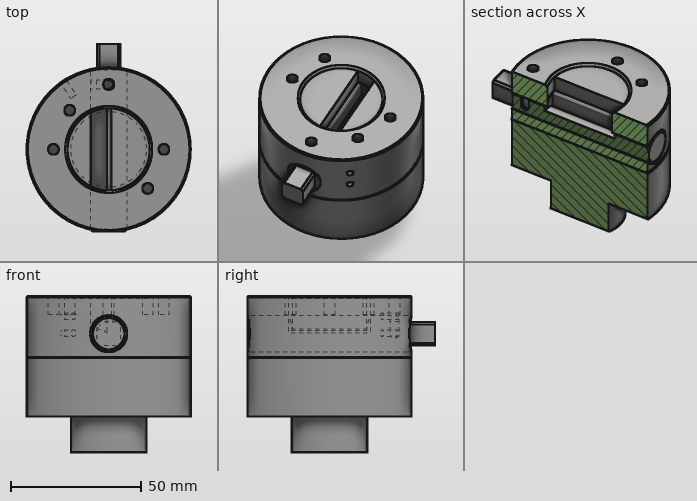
import cadquery as cq
import math

BODY_DIA = 63.0
BODY_RADIUS = BODY_DIA / 2
TOTAL_HEIGHT = 60.0
TOTAL_LENGTH = 72.0
OVERCUT = 0.7

UPPER_HEIGHT = 23.8
RIM_CHAMFER = 0.5
RECESS_DIA = 31.5
RECESS_DEPTH = 0.9
SLOT_LEFT = -6.9
SLOT_RIGHT = 1.0

MOUNT_HOLE_DIA = 4.1
MOUNT_HOLE_DEPTH = 7.2
MOUNT_HOLE_RADIUS = 21.2
MOUNT_HOLE_ANGLES = (0, 135, 180, 315)
STOP_HOLE_DIA = 4.2
STOP_Y = 24.9
SIDE_HOLE_DIA = 2.5
SIDE_HOLE_DEPTH = 7.2
SIDE_HOLE_ANGLE = 123.7
SIDE_HOLE_LEVELS = (-7.8, -14.25)

LOWER_HEIGHT = 22.5
SPIGOT_DIA = 29.0

SHAFT_Z = -14.5
BORE_DIA = 14.05
SHAFT_DIA = 14.0
SHAFT_RADIUS = SHAFT_DIA / 2
SHAFT_FRONT = -BODY_RADIUS
SHAFT_SHOULDER = 30.5
SHAFT_CHAMFER = 0.9
SQUARE_SIDE = 9.0
SQUARE_CHAMFER = 0.9
SQUARE_END = SHAFT_FRONT + TOTAL_LENGTH

GROOVE_DIA = 9.5
GROOVE_WIDTH = 3.45
GROOVE_SWEEP = 90

NOSE_RADIUS = 1.15
NOSE_X = 0.6
FLANK_RADIUS = 6.0
FLANK_X = -4.5
FLANK_TOP = 1.7


def cylinder_y(diameter, y_start, y_end):
    """Cylinder around the shaft axis."""
    plane = cq.Workplane("XZ", origin=(0, y_start, SHAFT_Z))
    return plane.circle(diameter / 2).extrude(y_start - y_end)


def cut_recess_and_slot(body):
    recess_radius = RECESS_DIA / 2
    seat = cq.Solid.makeCone(
        recess_radius,
        recess_radius + RECESS_DEPTH,
        RECESS_DEPTH,
        cq.Vector(0, 0, -RECESS_DEPTH),
    )
    left_end = math.sqrt(recess_radius**2 - SLOT_LEFT**2)
    right_end = math.sqrt(recess_radius**2 - SLOT_RIGHT**2)
    middle_x = (SLOT_LEFT + SLOT_RIGHT) / 2
    middle_end = math.sqrt(recess_radius**2 - middle_x**2)
    slot = (
        cq.Workplane("XY", origin=(0, 0, SHAFT_Z))
        .moveTo(SLOT_LEFT, -left_end)
        .threePointArc((middle_x, -middle_end), (SLOT_RIGHT, -right_end))
        .lineTo(SLOT_RIGHT, right_end)
        .threePointArc((middle_x, middle_end), (SLOT_LEFT, left_end))
        .close()
        .extrude(-RECESS_DEPTH - SHAFT_Z)
    )
    return body.cut(slot).cut(cq.Workplane(seat))


def cut_top_holes(body):
    for angle in MOUNT_HOLE_ANGLES:
        x = MOUNT_HOLE_RADIUS * math.cos(math.radians(angle))
        y = MOUNT_HOLE_RADIUS * math.sin(math.radians(angle))
        hole = cq.Workplane("XY").center(x, y).circle(MOUNT_HOLE_DIA / 2).extrude(-MOUNT_HOLE_DEPTH)
        body = body.cut(hole)
    stop_hole = cq.Workplane("XY").center(0, STOP_Y).circle(STOP_HOLE_DIA / 2).extrude(SHAFT_Z)
    return body.cut(stop_hole)


def cut_side_holes(body):
    """Radial blind holes, one above the other."""
    outward = cq.Vector(
        math.cos(math.radians(SIDE_HOLE_ANGLE)),
        math.sin(math.radians(SIDE_HOLE_ANGLE)),
        0,
    )
    for level in SIDE_HOLE_LEVELS:
        start = outward * (BODY_RADIUS - SIDE_HOLE_DEPTH) + cq.Vector(0, 0, level)
        hole = cq.Solid.makeCylinder(SIDE_HOLE_DIA / 2, SIDE_HOLE_DEPTH + OVERCUT, start, outward)
        body = body.cut(cq.Workplane(hole))
    return body


def make_upper_housing():
    body = (
        cq.Workplane("XY", origin=(0, 0, -UPPER_HEIGHT))
        .circle(BODY_RADIUS)
        .extrude(UPPER_HEIGHT)
        .faces("<Z or >Z").chamfer(RIM_CHAMFER)
    )
    body = body.cut(cylinder_y(BORE_DIA, -BODY_RADIUS - OVERCUT, BODY_RADIUS + OVERCUT))
    body = cut_recess_and_slot(body)
    body = cut_top_holes(body)
    return cut_side_holes(body)


def make_lower_housing():
    spigot_length = TOTAL_HEIGHT - UPPER_HEIGHT - LOWER_HEIGHT
    return (
        cq.Workplane("XY", origin=(0, 0, -UPPER_HEIGHT))
        .circle(BODY_RADIUS)
        .extrude(-LOWER_HEIGHT)
        .faces("<Z").workplane()
        .circle(SPIGOT_DIA / 2)
        .extrude(spigot_length)
    )


def cut_stop_groove(shaft):
    """Part-turn groove from the top of the shaft to its -X side, with round ends."""
    groove_radius = GROOVE_DIA / 2
    outer_radius = SHAFT_RADIUS + OVERCUT
    depth = outer_radius - groove_radius
    middle_radius = (groove_radius + outer_radius) / 2
    swept = (
        cq.Workplane("YZ", origin=(0, STOP_Y, SHAFT_Z))
        .center(0, middle_radius)
        .rect(GROOVE_WIDTH, depth)
        .revolve(GROOVE_SWEEP, (0, -middle_radius, 0), (-1, -middle_radius, 0))
    )
    shaft = shaft.cut(swept)
    for direction in (cq.Vector(0, 0, 1), cq.Vector(-1, 0, 0)):
        start = cq.Vector(0, STOP_Y, SHAFT_Z) + direction * groove_radius
        end = cq.Solid.makeCylinder(GROOVE_WIDTH / 2, depth, start, direction)
        shaft = shaft.cut(cq.Workplane(end))
    return shaft


def cut_cam_relief(shaft):
    """Clear the upper left of the shaft, leaving a nose tangent to its outer surface."""
    nose_distance = SHAFT_RADIUS - NOSE_RADIUS
    nose_z = math.sqrt(nose_distance**2 - NOSE_X**2)
    tip = (NOSE_X * SHAFT_RADIUS / nose_distance, nose_z * SHAFT_RADIUS / nose_distance)
    nose_left = NOSE_X - NOSE_RADIUS
    nose_middle = (NOSE_X - NOSE_RADIUS / math.sqrt(2), nose_z + NOSE_RADIUS / math.sqrt(2))

    def flank_z(x):
        return FLANK_TOP - FLANK_RADIUS + math.sqrt(FLANK_RADIUS**2 - (x - FLANK_X) ** 2)

    outer = SHAFT_RADIUS + OVERCUT
    relief = (
        cq.Workplane("XZ", origin=(0, RECESS_DIA / 2, SHAFT_Z))
        .moveTo(*tip)
        .threePointArc(nose_middle, (nose_left, nose_z))
        .lineTo(nose_left, flank_z(nose_left))
        .threePointArc((FLANK_X, FLANK_TOP), (-outer, flank_z(-outer)))
        .lineTo(-outer, outer)
        .lineTo(tip[0], outer)
        .close()
        .extrude(RECESS_DIA)
    )
    return shaft.cut(relief)


def make_cam_shaft():
    shaft = cylinder_y(SHAFT_DIA, SHAFT_FRONT, SHAFT_SHOULDER).faces("<Y").chamfer(SHAFT_CHAMFER)
    square = (
        cq.Workplane("XZ", origin=(0, SQUARE_END, SHAFT_Z))
        .rect(SQUARE_SIDE, SQUARE_SIDE)
        .extrude(SQUARE_END - SHAFT_SHOULDER)
        .edges("|Y").chamfer(SQUARE_CHAMFER)
    )
    shaft = shaft.union(square)
    shaft = cut_stop_groove(shaft)
    return cut_cam_relief(shaft)


upper_housing = make_upper_housing()
lower_housing = make_lower_housing()
cam_shaft = make_cam_shaft()

result = cq.Compound.makeCompound([
    *upper_housing.solids().vals(),
    *lower_housing.solids().vals(),
    *cam_shaft.solids().vals(),
])